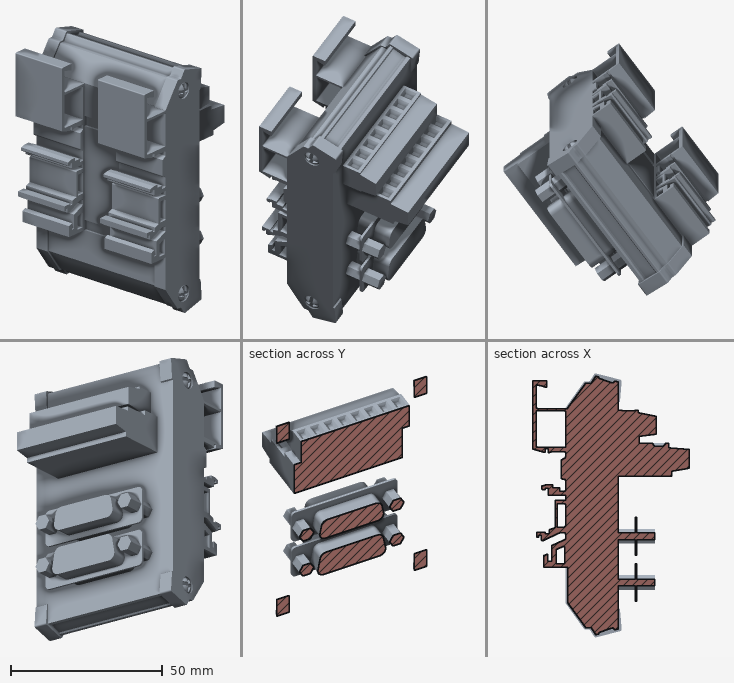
import cadquery as cq
import math


module_width = 55.4
plate_thickness = 4.7
front_face = 17.5
housing_back = 0.7

clip_width = 20.1
clip_reach = 10.8
clip_top = 41.2
clip_bottom = -20.4

screw_y = 9.3
screw_z = 36.2
screw_height = 0.7
dome_radius = 3.3
counterbore_radius = 2.9
counterbore_depth = 0.6
slot_width = 1.3
slot_floor_depth = 0.3

groove_inner = 16.8
groove_outer = 20.4
groove_depth = 0.9

pole_count = 8
pole_row_span = 34.9
block_width = 40.2
block_shift = 1.3
funnel_width, funnel_length = 3.5, 4.35
funnel_floor_width, funnel_floor_length = 1.2, 2.6
funnel_depth = 1.1
funnel_setback = 3.3

plug_front = 29.5
shell_corner = 2.4
shell_slant = math.radians(10)
flange_back, flange_thickness = 22.85, 0.8
flange_width, flange_height = 39.1, 12.6
flange_corner = 1.5
standoff_spacing = 33.3
standoff_across_flats = 4.8

half_width = module_width / 2
plate_inner = half_width - plate_thickness
clip_inner = half_width - clip_width


def outline(plane, corners):
    """Closed outline through (u, v) or (u, v, radius) corners; a radius rounds that corner."""
    path = None
    count = len(corners)
    for i, corner in enumerate(corners):
        here = cq.Vector(corner[0], corner[1])
        steps = [(here.x, here.y)]
        if len(corner) == 3:
            radius = corner[2]
            before = corners[i - 1]
            after = corners[(i + 1) % count]
            to_before = (cq.Vector(before[0], before[1]) - here).normalized()
            to_after = (cq.Vector(after[0], after[1]) - here).normalized()
            half_angle = to_before.getAngle(to_after) / 2
            setback = radius / math.tan(half_angle)
            to_middle = radius / math.sin(half_angle) - radius
            start = here + to_before * setback
            middle = here + (to_before + to_after).normalized() * to_middle
            end = here + to_after * setback
            steps = [(p.x, p.y) for p in (start, middle, end)]
        if path is None:
            path = cq.Workplane(plane).moveTo(*steps[0])
        else:
            path = path.lineTo(*steps[0])
        if len(steps) == 3:
            path = path.threePointArc(steps[1], steps[2])
    return path.close()


def side_extrusion(corners, x_start, x_end):
    """Extrude a (Y, Z) outline along X."""
    return outline("YZ", corners).extrude(x_end - x_start).translate((x_start, 0, 0))


def mirrored_in_z(upper_corners):
    """Complete an upper-half outline with its mirror image below Z = 0."""
    lower = [(c[0], -c[1], *c[2:]) for c in reversed(upper_corners)]
    return upper_corners + lower


plate_corners = mirrored_in_z([
    (0, 32.05),
    (6.25, 40.8, 0.6),
    (8.0, 40.8, 0.7),
    (9.7, 43.5, 0.6),
    (18.6, 41.3, 0.6),
    (18.0, 34.1),
    (front_face, 33.8),
])
housing_corners = mirrored_in_z([
    (housing_back, 32.05),
    (6.7, 40.3),
    (8.5, 40.3),
    (10.0, 42.65, 0.35),
    (10.95, 42.4),
    (11.2, 41.9),
    (15.1, 40.5),
    (15.7, 40.4),
    (16.3, 41.0),
    (front_face, 40.7),
])


def back_grooves():
    """Two shallow grooves across the housing back, in the gap between the clips."""
    height = groove_outer - groove_inner
    middle = (groove_outer + groove_inner) / 2
    groove = cq.Workplane("XY").box(2 * clip_inner, groove_depth, height)
    groove = groove.translate((0, housing_back + groove_depth / 2, middle))
    return groove.union(groove.mirror("XY"))


clip_corners = [
    (housing_back, 32.0),
    (-9.5, 32.0, 0.35),
    (-9.5, 39.6),
    (-7.5, 39.2),
    (-6.25, 38.75),
    (-6.0, 38.9),
    (-6.0, clip_top),
    (-clip_reach, clip_top, 0.35),
    (-clip_reach, 18.5),
    (-6.6, 17.3),
    (-6.6, 18.5),
    (-5.7, 18.5),
    (-5.7, 17.2),
    (-4.2, 17.6),
    (0, 17.6, 0.35),
    (0, 15.8, 0.35),
    (-1.5, 14.85),
    (-1.5, 8.6, 0.7),
    (0, 8.6, 0.5),
    (0, 4.7, 0.35),
    (-1.7, 4.7),
    (-1.7, 5.8),
    (-4.1, 5.8),
    (-4.1, 6.95),
    (-6.0, 6.95),
    (-7.8, 6.4),
    (-7.8, 5.4),
    (-7.5, 5.0),
    (-6.6, 5.0),
    (-6.6, 5.65),
    (-5.7, 5.65),
    (-5.7, 3.3, 0.35),
    (0, 3.3),
    (0, 1.8),
    (-3.5, 1.8, 0.35),
    (-3.5, -7.3),
    (-5.4, -8.0),
    (-5.4, -9.3),
    (-6.5, -9.3),
    (-6.5, -8.7),
    (-9.55, -8.7),
    (-9.55, -10.5),
    (-8.7, -10.5),
    (-8.7, -9.9),
    (-8.0, -9.9),
    (-8.0, -11.5),
    (-7.5, -11.7),
    (-1.7, -9.0),
    (0, -9.0, 0.5),
    (0, -11.1),
    (-4.6, -13.2),
    (-4.6, -18.2),
    (-5.7, -18.2),
    (-5.7, -15.9),
    (-7.2, -16.5),
    (-7.2, clip_bottom),
    (housing_back, clip_bottom),
]
clip_windows = [
    [(0, 31.1, 0.35), (-9.5, 31.1), (-9.5, 19.3, 0.35), (0, 19.3)],
    [(0, 0.4, 0.35), (-2.6, 0.4), (-2.6, -7.0), (0, -7.0, 0.35)],
    [(-0.3, -13.4, 0.35), (-2.95, -14.6), (-2.95, -19.1), (-0.3, -19.1)],
]


def rail_clip():
    clip = side_extrusion(clip_corners, clip_inner, half_width)
    for window in clip_windows:
        clip = clip.cut(side_extrusion(window, clip_inner, half_width))
    return clip


slot_corner = slot_width / math.sqrt(2)
dome_center = half_width + screw_height - math.sqrt(dome_radius**2 - slot_corner**2)


def counterbore():
    bore = cq.Workplane("YZ").circle(counterbore_radius).extrude(counterbore_depth)
    return bore.translate((half_width - counterbore_depth, screw_y, screw_z))


def screw_head():
    """Domed head with a cross slot, sunk in its counterbore on the +X end plate."""
    bore_floor = half_width - counterbore_depth
    base_radius = math.sqrt(dome_radius**2 - (bore_floor - dome_center) ** 2)
    middle_angle = math.asin(base_radius / dome_radius) / 2
    middle_x = dome_radius * math.cos(middle_angle)
    middle_y = dome_radius * math.sin(middle_angle)
    head = (
        cq.Workplane("XY")
        .moveTo(bore_floor, 0)
        .lineTo(bore_floor, base_radius)
        .threePointArc((dome_center + middle_x, middle_y), (dome_center + dome_radius, 0))
        .close()
        .revolve(360, (0, 0), (1, 0))
    )
    cross = cq.Workplane("YZ").rect(slot_width, 2 * dome_radius).extrude(dome_radius)
    cross = cross.union(cross.rotate((0, 0, 0), (1, 0, 0), 90))
    head = head.cut(cross.translate((half_width - slot_floor_depth, 0, 0)))
    return head.translate((0, screw_y, screw_z))


def in_all_corners(feature):
    """Repeat a feature of the upper +X corner in all four corners."""
    pair = feature.union(feature.mirror("XY"))
    return pair.union(pair.mirror("YZ"))


upper_block_corners = [
    (front_face, 31.4),
    (24.1, 31.4),
    (24.1, 30.6),
    (30.1, 29.4),
    (30.1, 23.4),
    (24.4, 22.7),
    (24.4, 22.2),
    (front_face, 22.2),
]
lower_block_corners = [
    (front_face, 22.2),
    (24.4, 22.2),
    (24.4, 20.5),
    (34.1, 20.5),
    (34.1, 19.0),
    (40.8, 18.5),
    (40.8, 12.2),
    (35.2, 11.2),
    (35.2, 9.55),
    (front_face, 9.55),
]


def wire_funnel():
    """Solid of one tapered wire entry, opening upward at the origin."""
    return (
        cq.Workplane("XY")
        .rect(funnel_width, funnel_length)
        .workplane(offset=-funnel_depth)
        .rect(funnel_floor_width, funnel_floor_length)
        .loft()
    )


def terminal_block(corners, step_index, x_center):
    """Block with a row of tapered wire funnels in its top step; step_index is the step's front edge."""
    step_y, step_z = corners[step_index]
    block = side_extrusion(corners, x_center - block_width / 2, x_center + block_width / 2)
    pitch = pole_row_span / (pole_count - 1)
    for pole in range(pole_count):
        x = x_center - pole_row_span / 2 + pole * pitch
        block = block.cut(wire_funnel().translate((x, step_y - funnel_setback, step_z)))
    return block


plug_length = plug_front - front_face
plugs = [
    (-10.2, -10.5, 24.7, 8.1),
    (-25.4, -25.3, 26.15, 9.55),
]


def plug_shell(z_center, width, height):
    """D-shaped shell, widest at the bottom, with rounded corners."""
    narrowing = height * math.tan(shell_slant)
    bottom_half = width / 2
    top_half = bottom_half - narrowing
    profile = [
        (-bottom_half, -height / 2, shell_corner),
        (bottom_half, -height / 2, shell_corner),
        (top_half, height / 2, shell_corner),
        (-top_half, height / 2, shell_corner),
    ]
    shell = outline("XZ", profile).extrude(-plug_length)
    return shell.translate((0, front_face, z_center))


def plug_flange(z_center):
    flange = cq.Workplane("XY").box(flange_width, flange_thickness, flange_height)
    flange = flange.edges("|Y").fillet(flange_corner)
    return flange.translate((0, flange_back + flange_thickness / 2, z_center))


def hex_standoffs(z_center):
    """Hexagonal standoffs beside the shell, with flats facing up and down."""
    across_corners = standoff_across_flats / math.cos(math.radians(30))
    standoffs = (
        cq.Workplane("XZ")
        .pushPoints([(-standoff_spacing / 2, 0), (standoff_spacing / 2, 0)])
        .polygon(6, across_corners)
        .extrude(-plug_length)
    )
    return standoffs.translate((0, front_face, z_center))


end_plate = side_extrusion(plate_corners, plate_inner, half_width)
clip = rail_clip()
housing = side_extrusion(housing_corners, -plate_inner, plate_inner).cut(back_grooves())
result = (
    housing.union(end_plate)
    .union(end_plate.mirror("YZ"))
    .union(clip)
    .union(clip.mirror("YZ"))
    .cut(in_all_corners(counterbore()))
    .union(in_all_corners(screw_head()))
    .union(terminal_block(upper_block_corners, 1, block_shift))
    .union(terminal_block(lower_block_corners, 3, -block_shift))
)
for plug_z, shell_z, shell_width, shell_height in plugs:
    result = (
        result.union(plug_shell(shell_z, shell_width, shell_height))
        .union(plug_flange(plug_z))
        .union(hex_standoffs(plug_z))
    )